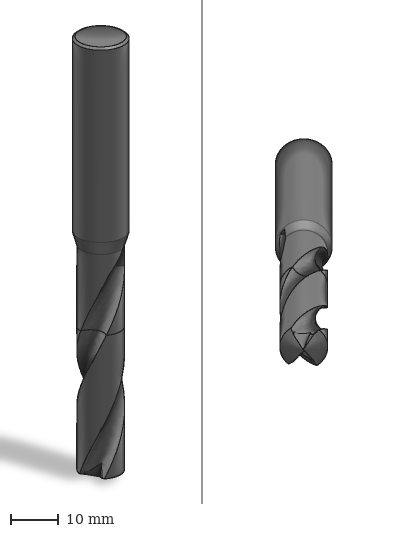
import cadquery as cq
import math

split_height = 35.0
flute_end_height = 48.8
neck_height = 53.8
shank_start_height = 57.0
total_length = 102.0

drill_diameter = 10.1
drill_radius = drill_diameter / 2
shank_diameter = 12.0
shank_radius = shank_diameter / 2
point_angle = 140.0
chamfer_width = 0.6
chamfer_height = 0.5
point_height = drill_radius / math.tan(math.radians(point_angle / 2))

flute_count = 2
flute_lead = 64.6
flute_section_radius = 3.35
flute_floor_radius = 2.4
front_crossing_height = 31.4
flute_start_height = -1.0
flute_centre_radius = flute_floor_radius + flute_section_radius

runout_top_height = 56.4
runout_top_radius = 5.9
runout_top_turn = 44.0
runout_top_section_radius = 0.7

gash_root = cq.Vector(0, -0.2, 0.3)
gash_exit = cq.Vector(1.85, -1.8, 4.4)
gash_left_side = cq.Vector(-0.7, -2.96, 1.9)
gash_right_side = cq.Vector(2.5, -2.15, 1.6)
gash_side_reach = 1.3
gash_overrun = 0.6


def flute_angle(height):
    """Direction of the flute centre at a height, for the flute that passes -Y."""
    return -90.0 + 360.0 * (height - front_crossing_height) / flute_lead


def place_on_helix(cutter, height):
    turned = cutter.rotate((0, 0, 0), (0, 0, 1), flute_angle(height))
    return turned.translate((0, 0, height))


def make_helical_cutter():
    length = flute_end_height - flute_start_height
    section = cq.Workplane("XY").moveTo(flute_centre_radius, 0).circle(flute_section_radius)
    helix = section.twistExtrude(length, 360.0 * length / flute_lead)
    return place_on_helix(helix, flute_start_height)


def make_runout_cutter():
    turn = math.radians(runout_top_turn)
    top_centre = (
        runout_top_radius * math.cos(turn),
        runout_top_radius * math.sin(turn),
    )
    cutter = (
        cq.Workplane("XY")
        .moveTo(flute_centre_radius, 0)
        .circle(flute_section_radius)
        .workplane(offset=runout_top_height - flute_end_height)
        .moveTo(*top_centre)
        .circle(runout_top_section_radius)
        .loft(ruled=True)
    )
    return place_on_helix(cutter, flute_end_height)


def make_gash_cutter():
    root_line = gash_exit - gash_root
    start = gash_root - root_line * gash_overrun
    corners = [
        start,
        start + gash_left_side * gash_side_reach,
        start + gash_right_side * gash_side_reach,
    ]
    notch_end = cq.Face.makeFromWires(cq.Wire.makePolygon(corners, close=True))
    notch = cq.Solid.extrudeLinear(notch_end, root_line * (1 + 2 * gash_overrun))
    return cq.Workplane(notch)


def revolve_about_axis(outline):
    return cq.Workplane("XZ").polyline(outline).close().revolve(360, (0, 0), (0, 1))


def cut_around_axis(body, cutter):
    for index in range(flute_count):
        angle = index * 360.0 / flute_count
        body = body.cut(cutter.rotate((0, 0, 0), (0, 0, 1), angle))
    return body


def make_cutting_body():
    """Pointed, fluted drill end below the joint."""
    outline = [
        (0, 0),
        (drill_radius, point_height),
        (drill_radius, split_height),
        (0, split_height),
    ]
    body = revolve_about_axis(outline)
    body = cut_around_axis(body, make_helical_cutter())
    return cut_around_axis(body, make_gash_cutter())


def make_shank_body():
    """Upper fluted length, neck cone and plain chamfered shank above the joint."""
    outline = [
        (0, split_height),
        (drill_radius, split_height),
        (drill_radius, neck_height),
        (shank_radius, shank_start_height),
        (shank_radius, total_length - chamfer_height),
        (shank_radius - chamfer_width, total_length),
        (0, total_length),
    ]
    body = revolve_about_axis(outline)
    body = cut_around_axis(body, make_helical_cutter())
    return cut_around_axis(body, make_runout_cutter())


cutting_body = make_cutting_body()
shank_body = make_shank_body()
result = cq.Compound.makeCompound([*cutting_body.solids().vals(), *shank_body.solids().vals()])